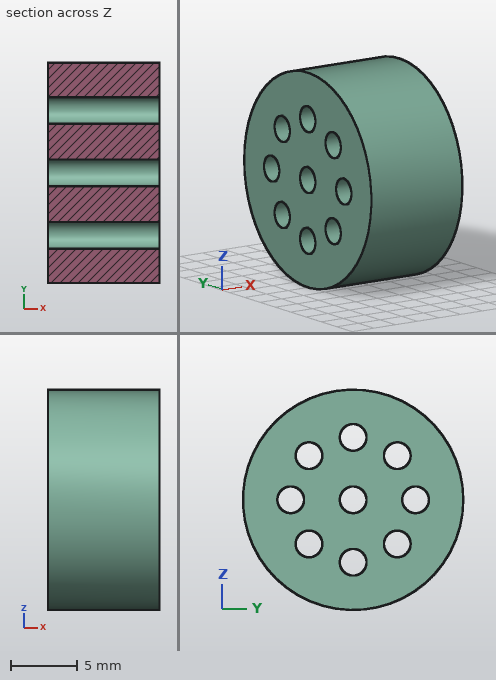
import cadquery as cq

disc_diameter = 16.6
disc_length = 8.4
hole_diameter = 2.0
hole_circle_radius = 4.7
ring_hole_count = 8


def make_disc():
    """Plain cylinder along the X axis, starting at the origin."""
    return cq.Workplane("YZ").circle(disc_diameter / 2).extrude(disc_length)


def drill_holes(body):
    """Drill the centre hole and the evenly spaced ring of holes right through."""
    body = body.faces("<X").workplane(centerOption="CenterOfBoundBox").hole(hole_diameter)
    return (
        body.faces("<X")
        .workplane(centerOption="CenterOfBoundBox")
        .polarArray(hole_circle_radius, 0, 360, ring_hole_count)
        .hole(hole_diameter)
    )


result = drill_holes(make_disc())